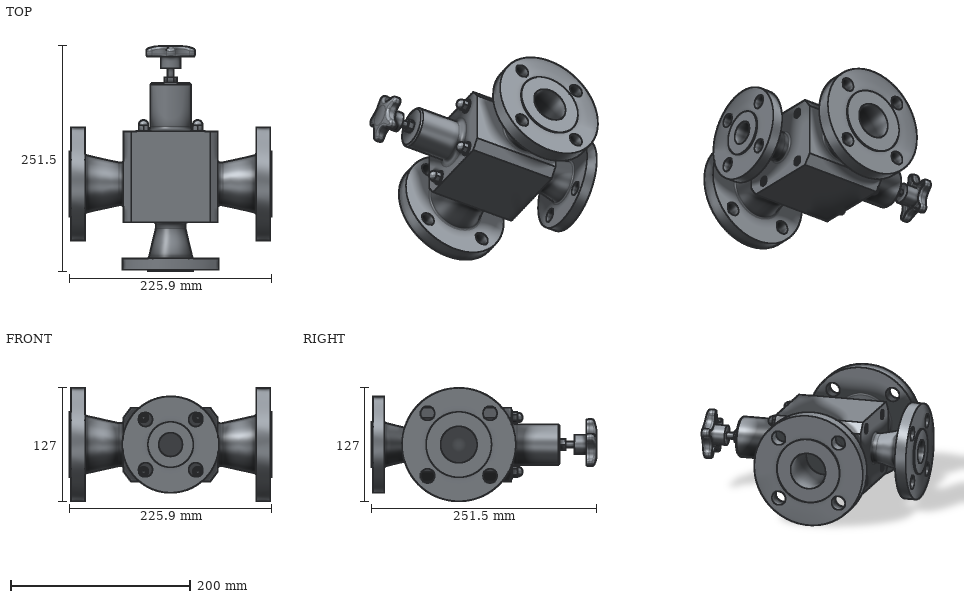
import cadquery as cq
import math


SELECTION_MARGIN = 1.0

BODY_X = 105.4
BODY_Z = 82.6
BODY_BACK_Y = 58.6
BODY_FRONT_Y = -43.0
BODY_CHAMFER_X = 8.5
BODY_CHAMFER_Z = 11.2

OVERALL_X = 225.93
OVERALL_Y = 251.46
FRONT_PORT_REACH = 97.5
RAISED_FACE_HEIGHT = 1.6
PORT_FILLET = 2.0
BOLT_HOLE_DIAMETER = 15.75
BOLT_HOLE_COUNT = 4

BONNET_DIAMETER = 45.72
BONNET_END_Y = 112.7
BONNET_CHAMFER = 1.9
BONNET_FILLET = 6.0

STEM_DIAMETER = 7.44
STEM_NUT_FLATS = 12.7
STEM_NUT_HEIGHT = 6.6
HUB_DIAMETER = 22.1
HUB_LENGTH = 13.0
HANDLE_TOP_Y = OVERALL_Y - FRONT_PORT_REACH

WHEEL_THICKNESS = 11.9
LOBE_COUNT = 5
LOBE_TIP_RADIUS = 5.0
LOBE_CENTRE_RADIUS = 23.6
VALLEY_DEPTH_RADIUS = 16.8
CROWN_FLAT_RADIUS = 12.0
CROWN_DROP = 3.8
CROWN_FILLET = 3.0
SKIRT_HEIGHT = 3.1
SKIRT_INSET = 1.2
WHEEL_WALL = 2.0
WHEEL_CAVITY_DEPTH = 5.0
WHEEL_CAVITY_FILLET = 1.5

BOLT_SPACING = 60.5
COUNTERBORE_DIAMETER = 11.0
SCREW_HEAD_DIAMETER = 9.53
SCREW_HEAD_HEIGHT = 6.35
SCREW_HEAD_CHAMFER = 0.8
SOCKET_FLATS = 4.76
SOCKET_DEPTH = 3.2
SOCKET_CONE_DIAMETER = 4.45
SOCKET_CONE_DEPTH = 1.3
WASHER_DIAMETER = 15.88
WASHER_THICKNESS = 0.8
NUT_FLATS = 11.1
NUT_HEIGHT = 6.5
NUT_CHAMFER_HEIGHT = 0.9
NUT_CHAMFER_INSET = 1.4
DOME_RADIUS = 5.5


def hexagon_diameter(flats):
    """Diameter across the corners of a hexagon with the given width across flats."""
    return flats / math.cos(math.pi / 6)


def quarter_arc_inset(radius):
    """Distance from each side of a square corner to the middle of its fillet arc."""
    return radius * (1 - math.cos(math.pi / 4))


def facing_back(y, x=0, z=0):
    """Workplane at (x, y, z) looking along +Y, with local x along X and local y along -Z."""
    return cq.Workplane(cq.Plane(origin=(x, y, z), xDir=(1, 0, 0), normal=(0, 1, 0)))


def facing_front(y, x=0, z=0):
    """Workplane at (x, y, z) looking along -Y, with local x along X and local y along Z."""
    return cq.Workplane(cq.Plane(origin=(x, y, z), xDir=(1, 0, 0), normal=(0, -1, 0)))


def bolt_positions():
    half = BOLT_SPACING / 2
    return [(x, z) for x in (-half, half) for z in (-half, half)]


def make_body():
    half_x = BODY_X / 2
    half_z = BODY_Z / 2
    flat_x = half_x - BODY_CHAMFER_X
    flat_z = half_z - BODY_CHAMFER_Z
    outline = [
        (-half_x, flat_z),
        (-flat_x, half_z),
        (flat_x, half_z),
        (half_x, flat_z),
        (half_x, -flat_z),
        (flat_x, -half_z),
        (-flat_x, -half_z),
        (-half_x, -flat_z),
    ]
    return facing_back(BODY_FRONT_Y).polyline(outline).close().extrude(BODY_BACK_Y - BODY_FRONT_Y)


def make_port(wall, neck_end, face, neck_diameter, hub_diameter, flange_diameter,
              flange_thickness, raised_diameter, bore, bolt_circle):
    """Weld-neck flange on +Z, from the body wall to its raised face, with a blind bore to the wall."""
    neck = neck_diameter / 2
    hub = hub_diameter / 2
    rim = flange_diameter / 2
    flange_front = face - RAISED_FACE_HEIGHT
    flange_back = flange_front - flange_thickness
    arc_inset = quarter_arc_inset(PORT_FILLET)
    port = (
        cq.Workplane("XZ")
        .moveTo(0, wall)
        .lineTo(neck + PORT_FILLET, wall)
        .threePointArc((neck + arc_inset, wall + arc_inset), (neck, wall + PORT_FILLET))
        .lineTo(neck, neck_end)
        .lineTo(hub, flange_back)
        .lineTo(rim, flange_back)
        .lineTo(rim, flange_front)
        .lineTo(raised_diameter / 2, flange_front)
        .lineTo(raised_diameter / 2, face)
        .lineTo(0, face)
        .close()
        .revolve(360, (0, 0, 0), (0, 1, 0))
    )
    hub_root = cq.selectors.BoxSelector(
        (-hub - SELECTION_MARGIN, -hub - SELECTION_MARGIN, flange_back - SELECTION_MARGIN),
        (hub + SELECTION_MARGIN, hub + SELECTION_MARGIN, flange_back + SELECTION_MARGIN),
        boundingbox=True,
    )
    port = port.edges(hub_root).fillet(PORT_FILLET)
    bore_tool = cq.Workplane("XY").workplane(offset=wall).circle(bore / 2).extrude(face - wall)
    bolt_tools = (
        cq.Workplane("XY")
        .workplane(offset=flange_back)
        .polarArray(bolt_circle / 2, 180 / BOLT_HOLE_COUNT, 360, BOLT_HOLE_COUNT)
        .circle(BOLT_HOLE_DIAMETER / 2)
        .extrude(flange_thickness)
    )
    return port.cut(bore_tool).cut(bolt_tools)


def make_side_port():
    return make_port(
        wall=BODY_X / 2,
        neck_end=58.0,
        face=OVERALL_X / 2,
        neck_diameter=48.26,
        hub_diameter=65.0,
        flange_diameter=127.0,
        flange_thickness=15.9,
        raised_diameter=73.15,
        bore=40.89,
        bolt_circle=98.55,
    )


def make_front_port():
    return make_port(
        wall=-BODY_FRONT_Y,
        neck_end=49.8,
        face=FRONT_PORT_REACH,
        neck_diameter=33.4,
        hub_diameter=49.3,
        flange_diameter=107.95,
        flange_thickness=12.7,
        raised_diameter=50.8,
        bore=26.64,
        bolt_circle=79.25,
    )


def make_bonnet():
    radius = BONNET_DIAMETER / 2
    arc_inset = quarter_arc_inset(BONNET_FILLET)
    return (
        cq.Workplane("XY")
        .moveTo(0, BODY_BACK_Y)
        .lineTo(radius + BONNET_FILLET, BODY_BACK_Y)
        .threePointArc(
            (radius + arc_inset, BODY_BACK_Y + arc_inset),
            (radius, BODY_BACK_Y + BONNET_FILLET),
        )
        .lineTo(radius, BONNET_END_Y - BONNET_CHAMFER)
        .lineTo(radius - BONNET_CHAMFER, BONNET_END_Y)
        .lineTo(0, BONNET_END_Y)
        .close()
        .revolve(360, (0, 0, 0), (0, 1, 0))
    )


def make_stem():
    wheel_base_y = HANDLE_TOP_Y - WHEEL_THICKNESS
    hub_base_y = wheel_base_y - HUB_LENGTH
    nut = facing_back(BONNET_END_Y).polygon(6, hexagon_diameter(STEM_NUT_FLATS)).extrude(STEM_NUT_HEIGHT)
    rod = facing_back(BONNET_END_Y).circle(STEM_DIAMETER / 2).extrude(wheel_base_y - BONNET_END_Y)
    hub = facing_back(hub_base_y).circle(HUB_DIAMETER / 2).extrude(HUB_LENGTH + WHEEL_CAVITY_DEPTH)
    return nut.union(rod).union(hub)


def polar(radius, angle):
    return (radius * math.cos(angle), radius * math.sin(angle))


def make_star(height, tip_radius, valley_depth_radius):
    """Star prism on the XY plane: round lobe tips joined by tangent concave valleys, one lobe on +Y."""
    half_pitch = math.pi / LOBE_COUNT
    tip_along = LOBE_CENTRE_RADIUS * math.cos(half_pitch)
    touch_offset = tip_radius - valley_depth_radius
    valley_centre_radius = (LOBE_CENTRE_RADIUS**2 - touch_offset**2) / (2 * (tip_along + touch_offset))
    valley_radius = valley_centre_radius - valley_depth_radius
    share = tip_radius / (tip_radius + valley_radius)

    def touch_point(lobe_angle, side):
        tip = polar(LOBE_CENTRE_RADIUS, lobe_angle)
        valley = polar(valley_centre_radius, lobe_angle + side * half_pitch)
        return tuple(t + share * (v - t) for t, v in zip(tip, valley))

    first = math.pi / 2
    outline = cq.Workplane("XY").moveTo(*touch_point(first, -1))
    for index in range(LOBE_COUNT):
        lobe = first + 2 * half_pitch * index
        tip_end = polar(LOBE_CENTRE_RADIUS + tip_radius, lobe)
        valley_floor = polar(valley_depth_radius, lobe + half_pitch)
        outline = outline.threePointArc(tip_end, touch_point(lobe, 1))
        outline = outline.threePointArc(valley_floor, touch_point(lobe + 2 * half_pitch, -1))
    return outline.close().extrude(height)


def make_wheel_cavity():
    """Star-shaped hollow on the XY plane, one wall inside the wheel and rounded where it meets the hub."""
    cavity = make_star(
        WHEEL_CAVITY_DEPTH,
        LOBE_TIP_RADIUS - WHEEL_WALL,
        VALLEY_DEPTH_RADIUS - WHEEL_WALL,
    )
    hub = cq.Workplane("XY").circle(HUB_DIAMETER / 2).extrude(WHEEL_CAVITY_DEPTH)
    return cavity.cut(hub).faces(">Z").edges().fillet(WHEEL_CAVITY_FILLET)


def make_wheel():
    rim = LOBE_CENTRE_RADIUS + LOBE_TIP_RADIUS
    skirt_radius = (SKIRT_HEIGHT**2 + SKIRT_INSET**2) / (2 * SKIRT_INSET)
    hidden_depth = skirt_radius - SKIRT_HEIGHT
    crown = (
        cq.Workplane("XZ")
        .moveTo(0, -hidden_depth)
        .lineTo(0, WHEEL_THICKNESS)
        .lineTo(CROWN_FLAT_RADIUS, WHEEL_THICKNESS)
        .tangentArcPoint((rim, WHEEL_THICKNESS - CROWN_DROP), relative=False)
        .lineTo(rim, -hidden_depth)
        .close()
        .revolve(360, (0, 0, 0), (0, 1, 0))
    )
    star = make_star(WHEEL_THICKNESS + hidden_depth, LOBE_TIP_RADIUS, VALLEY_DEPTH_RADIUS)
    wheel = star.translate((0, 0, -hidden_depth)).intersect(crown)
    wheel = wheel.faces("<Z").edges().fillet(skirt_radius)
    crown_edges = cq.selectors.BoxSelector(
        (-rim, -rim, WHEEL_THICKNESS - CROWN_DROP - SELECTION_MARGIN),
        (rim, rim, WHEEL_THICKNESS),
    )
    wheel = wheel.edges(crown_edges).edges("not #XY").fillet(CROWN_FILLET)
    below_base = cq.Workplane("XY").circle(2 * rim).extrude(-hidden_depth)
    wheel = wheel.cut(below_base).cut(make_wheel_cavity())
    wheel = wheel.rotate((0, 0, 0), (0, 0, 1), 180)
    wheel = wheel.rotate((0, 0, 0), (1, 0, 0), -90)
    return wheel.translate((0, HANDLE_TOP_Y - WHEEL_THICKNESS, 0))


def make_acorn_nut(x, z):
    """Washer, hexagon with corners along Z, and domed end on the back face."""
    nut_y = BODY_BACK_Y + WASHER_THICKNESS
    nut_end_y = nut_y + NUT_HEIGHT
    washer = facing_back(BODY_BACK_Y, x, z).circle(WASHER_DIAMETER / 2).extrude(WASHER_THICKNESS)
    nut = (
        facing_back(nut_y, x, z)
        .transformed(rotate=(0, 0, 90))
        .polygon(6, hexagon_diameter(NUT_FLATS))
        .extrude(NUT_HEIGHT)
    )
    corner_trim = (
        facing_back(nut_y, x, z)
        .circle(hexagon_diameter(NUT_FLATS) / 2)
        .extrude(NUT_HEIGHT)
        .faces(">Y")
        .chamfer(NUT_CHAMFER_HEIGHT, NUT_CHAMFER_INSET)
    )
    nut = nut.intersect(corner_trim)
    dome = cq.Workplane("XY").sphere(DOME_RADIUS).translate((x, nut_end_y, z))
    return washer.union(nut).union(dome)


def make_screw_recess(x, z):
    """Cutter for a recessed cap screw: ring around the chamfered head, and its hexagon socket."""
    front = facing_front(BODY_FRONT_Y + SCREW_HEAD_HEIGHT, x, z)
    counterbore = front.circle(COUNTERBORE_DIAMETER / 2).extrude(SCREW_HEAD_HEIGHT)
    head = front.circle(SCREW_HEAD_DIAMETER / 2).extrude(SCREW_HEAD_HEIGHT)
    head = head.faces("<Y").edges().chamfer(SCREW_HEAD_CHAMFER)
    socket_floor_y = BODY_FRONT_Y + SOCKET_DEPTH
    socket = (
        facing_front(socket_floor_y, x, z)
        .transformed(rotate=(0, 0, 90))
        .polygon(6, hexagon_diameter(SOCKET_FLATS))
        .extrude(SOCKET_DEPTH)
    )
    cone = cq.Workplane(
        cq.Solid.makeCone(
            SOCKET_CONE_DIAMETER / 2,
            0,
            SOCKET_CONE_DEPTH,
            pnt=cq.Vector(x, socket_floor_y, z),
            dir=cq.Vector(0, 1, 0),
        )
    )
    return counterbore.cut(head).union(socket).union(cone)


body = make_body()
for x, z in bolt_positions():
    body = body.cut(make_screw_recess(x, z))

side_port = make_side_port()
for angle in (-90, 90):
    body = body.union(side_port.rotate((0, 0, 0), (0, 1, 0), angle))
body = body.union(make_front_port().rotate((0, 0, 0), (1, 0, 0), 90))

body = body.union(make_bonnet())
for x, z in bolt_positions():
    body = body.union(make_acorn_nut(x, z))
body = body.union(make_stem())
result = body.union(make_wheel())